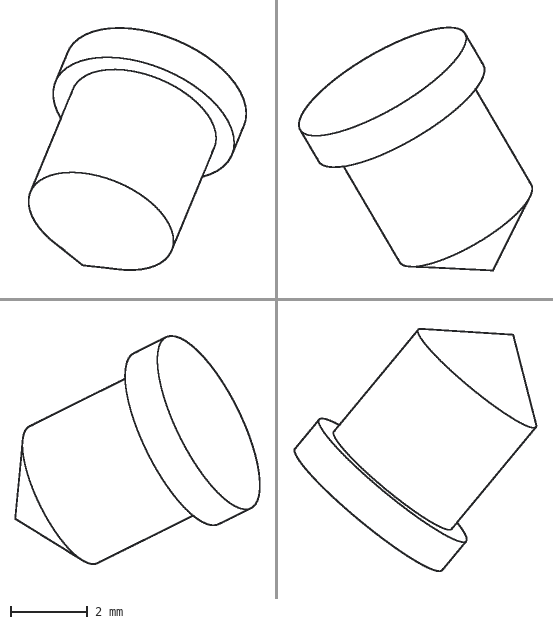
import cadquery as cq

total_length = 6.0
head_diameter = 5.0
head_thickness = 1.0
shank_diameter = 4.0
tip_length = 1.5

head_radius = head_diameter / 2
shank_radius = shank_diameter / 2

shoulder_y = -head_thickness
tip_base_y = -(total_length - tip_length)
tip_y = -total_length

profile = (
    cq.Workplane("XY")
    .moveTo(0, 0)
    .lineTo(head_radius, 0)
    .lineTo(head_radius, shoulder_y)
    .lineTo(shank_radius, shoulder_y)
    .lineTo(shank_radius, tip_base_y)
    .lineTo(0, tip_y)
    .close()
)

result = profile.revolve(360, (0, 0, 0), (0, 1, 0))